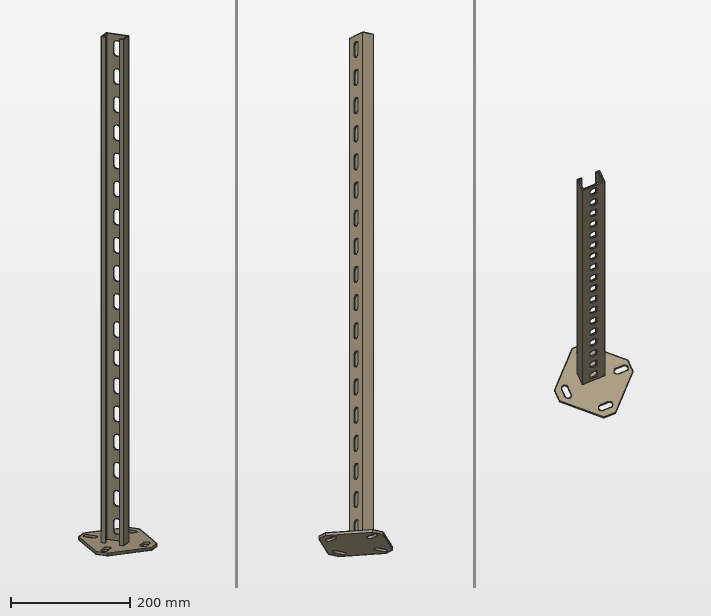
import cadquery as cq
import math

PLATE_SIDE = 110.0
PLATE_THICKNESS = 5.0
PLATE_CORNER_CUT = 15.0

PLATE_SLOT_LENGTH = 25.0
PLATE_SLOT_WIDTH = 11.0
PLATE_SLOT_RADIUS = 50.0
PLATE_SLOT_ANGLES = [(0, 90), (90, 0), (180, 0), (270, 90)]

POST_LENGTH = 900.0
POST_WIDTH = 41.0
POST_DEPTH = 22.0
POST_BACK_Y = -0.5
WALL = 2.5
MOUTH_WIDTH = 25.5

POST_SLOT_LENGTH = 28.0
POST_SLOT_WIDTH = 13.0
POST_SLOT_PITCH = 50.0
POST_SLOT_COUNT = round(POST_LENGTH / POST_SLOT_PITCH)


def make_base_plate():
    plate = (
        cq.Workplane("XY")
        .rect(PLATE_SIDE, PLATE_SIDE)
        .extrude(PLATE_THICKNESS)
        .edges("|Z")
        .chamfer(PLATE_CORNER_CUT)
        .rotate((0, 0, 0), (0, 0, 1), 45)
    )
    for position_angle, length_angle in PLATE_SLOT_ANGLES:
        direction = math.radians(position_angle)
        slot = (
            cq.Workplane("XY")
            .center(PLATE_SLOT_RADIUS * math.cos(direction), PLATE_SLOT_RADIUS * math.sin(direction))
            .slot2D(PLATE_SLOT_LENGTH, PLATE_SLOT_WIDTH, length_angle)
            .extrude(PLATE_THICKNESS)
        )
        plate = plate.cut(slot)
    return plate


def make_post():
    front_y = POST_BACK_Y - POST_DEPTH
    hollow_width = POST_WIDTH - 2 * WALL
    hollow_depth = POST_DEPTH - 2 * WALL
    middle_y = (POST_BACK_Y + front_y) / 2
    base = cq.Workplane("XY", origin=(0, 0, PLATE_THICKNESS))
    bar = base.center(0, middle_y).rect(POST_WIDTH, POST_DEPTH).extrude(POST_LENGTH)

    hollow = (
        cq.Workplane("XY", origin=(0, middle_y, PLATE_THICKNESS))
        .rect(hollow_width, hollow_depth)
        .extrude(POST_LENGTH)
    )
    mouth = (
        cq.Workplane("XY", origin=(0, front_y + WALL / 2, PLATE_THICKNESS))
        .rect(MOUTH_WIDTH, WALL)
        .extrude(POST_LENGTH)
    )
    back_slots = (
        cq.Workplane("XZ", origin=(0, POST_BACK_Y, PLATE_THICKNESS + POST_LENGTH / 2))
        .rarray(1, POST_SLOT_PITCH, 1, POST_SLOT_COUNT)
        .slot2D(POST_SLOT_LENGTH, POST_SLOT_WIDTH, 90)
        .extrude(WALL)
    )
    return bar.cut(hollow).cut(mouth).cut(back_slots)


base_plate = make_base_plate()
post = make_post()

result = cq.Compound.makeCompound([base_plate.val(), post.val()])